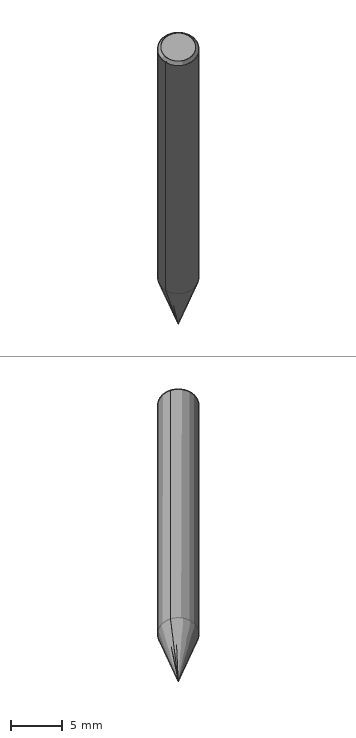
import cadquery as cq

total_length = 45.0
shank_diameter = 4.0
tip_length = 7.65
chamfer_size = 0.3

shank_radius = shank_diameter / 2
cap_base = total_length - chamfer_size
half_turn = 180
quarter_turn = half_turn / 2


def make_half_rod(start_angle):
    """Half of the pointed rod up to the cap, swept half a turn about Z from start_angle."""
    return (
        cq.Workplane("XZ")
        .moveTo(0, 0)
        .lineTo(shank_radius, tip_length)
        .lineTo(shank_radius, cap_base)
        .lineTo(0, cap_base)
        .close()
        .revolve(half_turn, (0, 0, 0), (0, 1, 0))
        .rotate((0, 0, 0), (0, 0, 1), start_angle)
    )


def make_cap():
    """Full-round chamfered cap at the top of the shank."""
    return (
        cq.Workplane("XZ")
        .moveTo(0, cap_base)
        .lineTo(shank_radius, cap_base)
        .lineTo(shank_radius - chamfer_size, total_length)
        .lineTo(0, total_length)
        .close()
        .revolve(2 * half_turn, (0, 0, 0), (0, 1, 0))
        .rotate((0, 0, 0), (0, 0, 1), quarter_turn)
    )


def make_capped_half():
    """The -X half of the rod, in one piece with the cap."""
    return make_half_rod(quarter_turn).union(make_cap())


def make_plain_half():
    """The +X half of the rod, seated under the cap."""
    return make_half_rod(-quarter_turn)


capped_half = make_capped_half()
plain_half = make_plain_half()

result = cq.Compound.makeCompound([capped_half.val(), plain_half.val()])